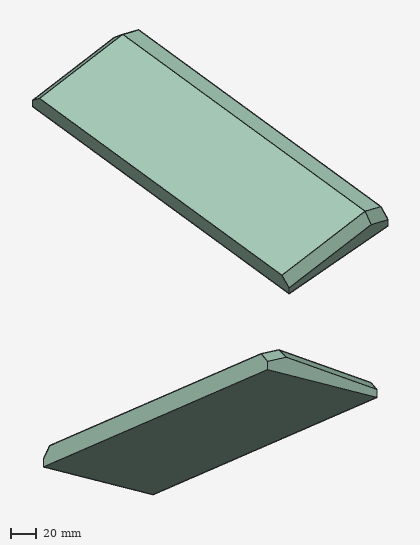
import cadquery as cq

LENGTH = 292.8
DEPTH = 109.5
HEIGHT = 22.8

FRONT_HEIGHT = 15.0
BACK_HEIGHT = 15.8
RIDGE_FROM_BACK = 17.5

END_CHAMFER = 8.2


def make_housing():
    """Low wedge, highest along a ridge near the back, with bevelled ends."""
    front = -DEPTH / 2
    back = DEPTH / 2
    profile = [
        (front, 0),
        (back, 0),
        (back, BACK_HEIGHT),
        (back - RIDGE_FROM_BACK, HEIGHT),
        (front, FRONT_HEIGHT),
    ]
    wedge = cq.Workplane("YZ").polyline(profile).close().extrude(LENGTH / 2, both=True)

    lowest_top_edge = min(FRONT_HEIGHT, BACK_HEIGHT)
    sloping_edges = cq.selectors.BoxSelector(
        (-LENGTH, -DEPTH, lowest_top_edge), (LENGTH, DEPTH, 2 * HEIGHT)
    )
    return wedge.faces("<X or >X").edges(sloping_edges).chamfer(END_CHAMFER)


housing = make_housing()

result = cq.Compound.makeCompound([housing.val()])